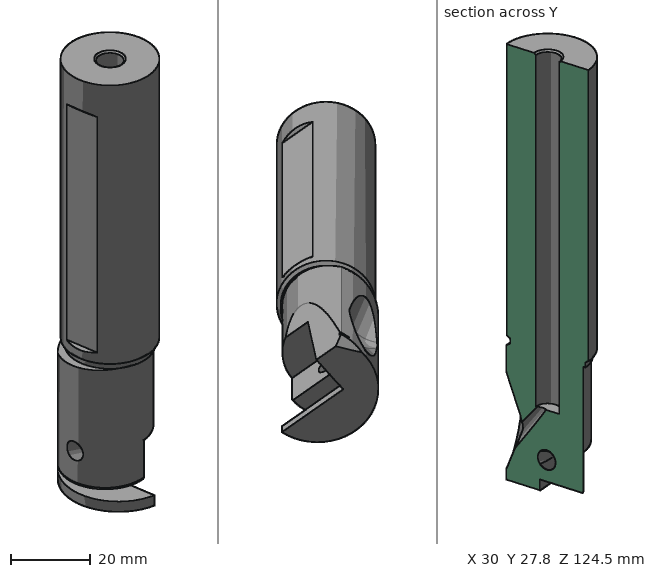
import cadquery as cq
import math

TOTAL_HEIGHT = 124.5
SHANK_RADIUS = 12.5
SHANK_BOTTOM = 41.3
FLAT_OFFSET = 11.5
FLAT_BOTTOM = 44.5
FLAT_TOP = 114.8
FLAT_END_RISE = 0.6

GROOVE_RADIUS = 11.5
GROOVE_TOP = 40.6
GROOVE_BOTTOM = 39.2
SHOULDER_RADIUS = 14.3
SHOULDER_BOTTOM = 37.2

FLANGE_RADIUS = 15.3
FLANGE_X = 2.7
FLANGE_HEIGHT = 3.1
FLANGE_END_Y = -4.1
BODY_RADIUS = 12.2
BODY_X = -1.2
BODY_Y = -0.4
UNDERCUT_DEPTH = 0.4
UNDERCUT_TOP = 3.9

BACK_TOP_Z = 25.0
BACK_TOP_Y = 12.5
BACK_BOTTOM_Y = 6.7
SEAT_X = -2.2
SEAT_Y = 0.0
SEAT_TOP = 15.0
CORNER_SLOPE = 1.3
CORNER_START = (-12.6, 1.1)
CORNER_END = (-8.5, 6.7)

POCKET_RADIUS = 6.8
POCKET_Y = -1.0
POCKET_Z = 16.9
POCKET_FLOOR_X = -7.7
POCKET_HALF_BEND = 2.6
POCKET_ANGLE = 21.0

BORE_DIAMETER = 7.0
BORE_CHAMFER = 0.5
BORE_BOTTOM = 23.7
SCREW_DIAMETER = 5.2
SCREW_POINT = (-1.5, -12.5, 13.1)
SCREW_DIRECTION = (0.1, 1.0, -0.3)
COOLANT_DIAMETER = 3.4
COOLANT_START = (-0.2, -1.5, 25.6)
COOLANT_END = (-14.5, -0.2, 6.5)

MARGIN = 6.2
SPAN = 74.7


def cylinder(radius, x, y, bottom, top):
    return cq.Workplane("XY", origin=(x, y, bottom)).circle(radius).extrude(top - bottom)


def side_flat(side):
    rise_per_depth = FLAT_END_RISE / (SHANK_RADIUS - FLAT_OFFSET)
    outer_y = SHANK_RADIUS + MARGIN
    rise = rise_per_depth * (outer_y - FLAT_OFFSET)
    profile = [
        (side * FLAT_OFFSET, FLAT_BOTTOM),
        (side * FLAT_OFFSET, FLAT_TOP),
        (side * outer_y, FLAT_TOP + rise),
        (side * outer_y, FLAT_BOTTOM - rise),
    ]
    return cq.Workplane("YZ").polyline(profile).close().extrude(SHANK_RADIUS, both=True)


def make_shank():
    shank = cylinder(SHANK_RADIUS, 0, 0, SHANK_BOTTOM, TOTAL_HEIGHT)
    for side in (-1, 1):
        shank = shank.cut(side_flat(side))
    return shank


def make_neck():
    profile = [
        (0, SHANK_BOTTOM),
        (SHANK_RADIUS, SHANK_BOTTOM),
        (GROOVE_RADIUS, GROOVE_TOP),
        (GROOVE_RADIUS, GROOVE_BOTTOM),
        (0, GROOVE_BOTTOM),
    ]
    return cq.Workplane("XZ").polyline(profile).close().revolve(360, (0, 0, 0), (0, 1, 0))


def shoulder_envelope():
    profile = [
        (0, 0),
        (FLANGE_X + FLANGE_RADIUS, 0),
        (FLANGE_X + FLANGE_RADIUS, FLANGE_HEIGHT),
        (SHOULDER_RADIUS, FLANGE_HEIGHT),
        (SHOULDER_RADIUS, SHOULDER_BOTTOM),
        (GROOVE_RADIUS, GROOVE_BOTTOM),
        (0, GROOVE_BOTTOM),
    ]
    return cq.Workplane("XZ").polyline(profile).close().revolve(360, (0, 0, 0), (0, 1, 0))


def back_slope():
    slope = (BACK_TOP_Y - BACK_BOTTOM_Y) / BACK_TOP_Z
    profile = [
        (BACK_BOTTOM_Y - slope * MARGIN, -MARGIN),
        (BACK_TOP_Y + slope * MARGIN, BACK_TOP_Z + MARGIN),
        (SPAN, BACK_TOP_Z + MARGIN),
        (SPAN, -MARGIN),
    ]
    return cq.Workplane("YZ").polyline(profile).close().extrude(SPAN, both=True)


def corner_relief():
    """Half-space below a plane that rises outwards from the lower left corner."""
    along_x = CORNER_END[0] - CORNER_START[0]
    along_y = CORNER_END[1] - CORNER_START[1]
    length = math.hypot(along_x, along_y)
    plane = cq.Plane(
        origin=(*CORNER_START, 0),
        xDir=(along_x, along_y, 0),
        normal=(-along_y / length * CORNER_SLOPE, along_x / length * CORNER_SLOPE, -1),
    )
    return cq.Workplane(plane).rect(SPAN, SPAN).extrude(SPAN)


def insert_seat():
    flange_end = cq.Workplane("XY").box(SPAN, SPAN, FLANGE_HEIGHT, centered=False)
    seat = cq.Workplane("XY").box(SPAN, SPAN, SEAT_TOP, centered=False)
    return seat.translate((SEAT_X, SEAT_Y, 0)).union(flange_end.translate((SEAT_X, FLANGE_END_Y, 0)))


def chip_pocket():
    angle = math.radians(POCKET_ANGLE)
    bend_radius = POCKET_HALF_BEND / math.sin(angle)
    bend_x = POCKET_FLOOR_X - bend_radius
    chord_offset = bend_radius - POCKET_RADIUS
    half_chord = math.sqrt(POCKET_RADIUS**2 - chord_offset**2)

    def section():
        return (
            cq.Workplane("XY", origin=(bend_x, POCKET_Y, POCKET_Z))
            .moveTo(0, -half_chord)
            .threePointArc((bend_radius, 0), (0, half_chord))
            .close()
        )

    bend_axis = ((0, 0, 0), (0, 1, 0))
    pivot = cq.Vector(bend_x, POCKET_Y, POCKET_Z)
    pivot_end = pivot + cq.Vector(0, 1.2, 0)
    pocket = section().revolve(2 * POCKET_ANGLE, *bend_axis)
    pocket = pocket.rotate(pivot, pivot_end, -POCKET_ANGLE)
    for side in (-1, 1):
        arm = section().extrude(side * SPAN / 2)
        pocket = pocket.union(arm.rotate(pivot, pivot_end, -side * POCKET_ANGLE))
    return pocket


def make_head():
    flange_circle = cylinder(FLANGE_RADIUS, FLANGE_X, 0, 0, GROOVE_BOTTOM)
    body = cylinder(BODY_RADIUS, BODY_X, BODY_Y, UNDERCUT_TOP, GROOVE_BOTTOM)
    undercut = (
        cq.Workplane("XY", origin=(BODY_X, BODY_Y, FLANGE_HEIGHT))
        .circle(BODY_RADIUS - UNDERCUT_DEPTH)
        .workplane(offset=UNDERCUT_TOP - FLANGE_HEIGHT)
        .circle(BODY_RADIUS)
        .loft()
    )
    flange = cylinder(FLANGE_RADIUS, FLANGE_X, 0, 0, FLANGE_HEIGHT)
    head = body.union(undercut).union(flange)
    head = head.intersect(flange_circle).intersect(shoulder_envelope())
    for cutter in (back_slope(), corner_relief(), insert_seat(), chip_pocket()):
        head = head.cut(cutter)
    return head


def axial_bore():
    radius = BORE_DIAMETER / 2
    profile = [
        (0, BORE_BOTTOM),
        (radius, BORE_BOTTOM),
        (radius, TOTAL_HEIGHT - BORE_CHAMFER),
        (radius + BORE_CHAMFER, TOTAL_HEIGHT),
        (0, TOTAL_HEIGHT),
    ]
    return cq.Workplane("XZ").polyline(profile).close().revolve(360, (0, 0, 0), (0, 1, 0))


def screw_hole():
    start = cq.Vector(*SCREW_POINT)
    direction = cq.Vector(*SCREW_DIRECTION).normalized()
    return cq.Solid.makeCylinder(SCREW_DIAMETER / 2, SPAN, start - direction * MARGIN, direction)


def coolant_hole():
    start = cq.Vector(*COOLANT_START)
    direction = cq.Vector(*COOLANT_END) - start
    return cq.Solid.makeCylinder(COOLANT_DIAMETER / 2, direction.Length, start, direction)


result = make_shank().union(make_neck()).union(make_head())
for hole in (axial_bore(), screw_hole(), coolant_hole()):
    result = result.cut(hole)